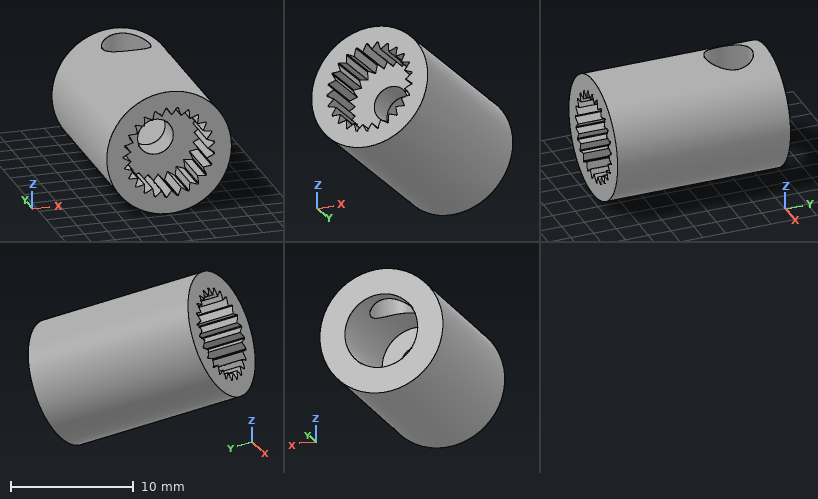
import cadquery as cq
import math

length = 15.24
outer_diameter = 10.67
web_hole_diameter = 3.05
shaft_diameter = 6.3
shaft_depth = 9.15
spline_teeth = 25
spline_tip_radius = 3.9
spline_root_radius = 3.3
tip_flat = 0.09
spline_depth = 3.81
screw_hole_diameter = 4.04
screw_hole_from_back = 3.32

front_y = -length / 2
back_y = length / 2


def cylinder_along_y(diameter, start_y, depth):
    """Solid cylinder on the Y axis, growing from start_y toward +Y."""
    plane = cq.Workplane("XZ", origin=(0, start_y, 0))
    return plane.circle(diameter / 2).extrude(-depth)


def spline_points():
    """Spline outline: narrow flats at the outer tips, sharp inner corners, one tip on -X."""
    pitch = 2 * math.pi / spline_teeth
    half_flat_angle = tip_flat / 2 / spline_tip_radius
    points = []
    for tooth in range(spline_teeth):
        tip_angle = math.pi + tooth * pitch
        corners = (
            (spline_tip_radius, tip_angle - half_flat_angle),
            (spline_tip_radius, tip_angle + half_flat_angle),
            (spline_root_radius, tip_angle + pitch / 2),
        )
        for radius, angle in corners:
            points.append((radius * math.cos(angle), radius * math.sin(angle)))
    return points


body = cylinder_along_y(outer_diameter, front_y, length)
web_hole = cylinder_along_y(web_hole_diameter, front_y, length)

socket_plane = cq.Workplane("XZ", origin=(0, front_y, 0))
socket = socket_plane.polyline(spline_points()).close().extrude(-spline_depth)

shaft_socket = cylinder_along_y(shaft_diameter, back_y - shaft_depth, shaft_depth)

screw_hole = (
    cq.Workplane("XY", origin=(0, back_y - screw_hole_from_back, 0))
    .circle(screw_hole_diameter / 2)
    .extrude(outer_diameter / 2)
)

result = body.cut(web_hole).cut(socket).cut(shaft_socket).cut(screw_hole)